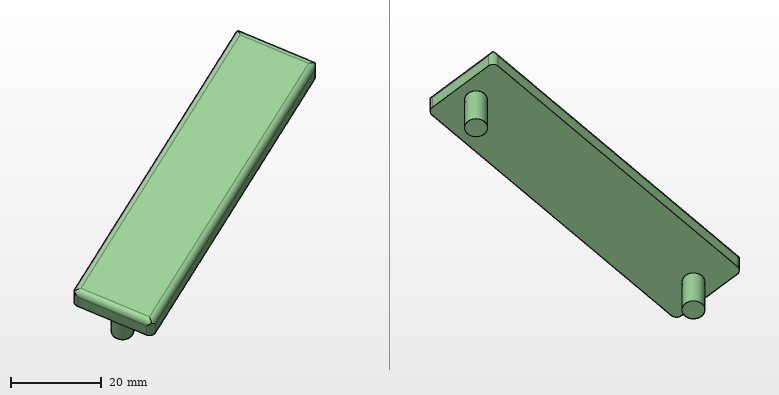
import cadquery as cq

plate_length = 80.0
plate_width = 20.0
total_height = 15.0
post_height = 10.0
plate_thickness = total_height - post_height
edge_radius = 1.5

post_diameter = 5.0
post_inset = 5.0
post_spacing = plate_length - 2 * post_inset


def rounded_block(edge_selector):
    """Block of the plate's size on Z = 0, with the selected edges rounded."""
    block = cq.Workplane("XY").box(
        plate_width, plate_length, plate_thickness, centered=(True, True, False)
    )
    return block.edges(edge_selector).fillet(edge_radius)


def make_plate():
    """Plate whose edge rounds run full length and meet in mitred corners."""
    rounded_corners = rounded_block("|Z")
    rounded_long_edges = rounded_block(">Z and |Y")
    rounded_end_edges = rounded_block(">Z and |X")
    return rounded_corners.intersect(rounded_long_edges).intersect(rounded_end_edges)


def make_posts():
    """Posts hanging from the underside of the plate."""
    return (
        cq.Workplane("XY")
        .rarray(0.8, post_spacing, 1, 2)
        .circle(post_diameter / 2)
        .extrude(-post_height)
    )


result = make_plate().union(make_posts())